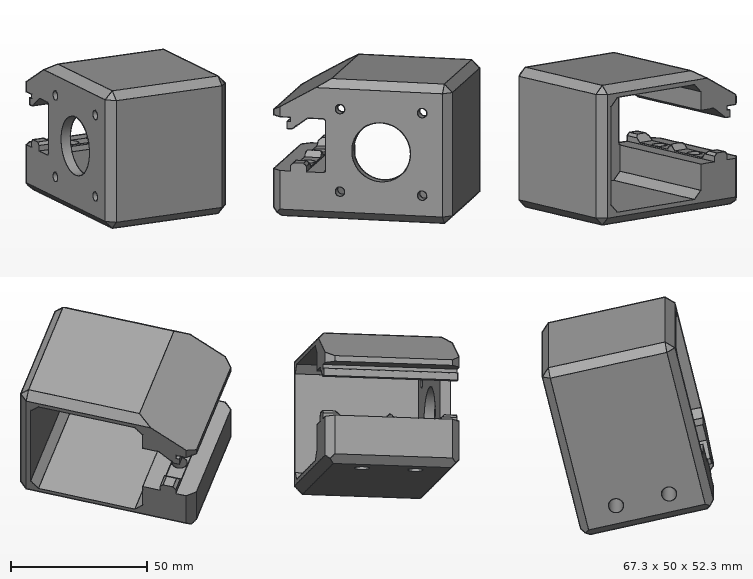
import cadquery as cq
import math

length = 67.3
depth = 50.0
height = 52.3
edge_chamfer = 3.0
nose_top = 39.7
nose_angle = 30.0
slope_run = (height - nose_top) / math.tan(math.radians(nose_angle))

slot_floor = 17.5
slot_ceiling = 37.6
slot_depth = 20.2
slot_fillet = 1.0

lip_root = 7.0
lip_tip = 5.65
lip_tip_end = 7.7
lip_ramp_end = 13.45
lip_notch_height = 1.6
lip_height = 4.3

key_start = 7.0
key_width = 6.0
key_height = 3.15
key_chamfer = 1.1
notch_step = 0.55
notch_floor_width = 15.6
screw_pitch = 20.0
screw_diameter = 5.5

motor_x = 41.1
motor_z = height / 2
motor_width = 42.95
motor_corner = edge_chamfer
plate_thickness = 3.9
bore_diameter = 22.1
bolt_pitch = 30.95
bolt_diameter = 3.5


def chamfered_block():
    """Chamfered block with a sloping face above the nose."""
    side = (
        cq.Workplane("XZ")
        .moveTo(edge_chamfer, 0)
        .lineTo(length, 0)
        .lineTo(length, height)
        .lineTo(slope_run, height)
        .lineTo(0, nose_top)
        .lineTo(0, edge_chamfer)
        .close()
        .extrude(-depth)
    )
    box = cq.Workplane().box(length, depth, height, centered=False)
    far_chamfers = box.edges("|X or >X").chamfer(edge_chamfer)
    near_chamfers = box.edges("|Z and <X").chamfer(edge_chamfer)
    return side.intersect(far_chamfers).intersect(near_chamfers)


def rail_slot():
    """Slot across the full depth, rounded inside only where it ends in the motor plate."""
    slot_height = slot_ceiling - slot_floor
    plate_stretch = (
        cq.Workplane()
        .box(slot_depth, plate_thickness, slot_height, centered=False)
        .edges("|Y and >X")
        .fillet(slot_fillet)
    )
    open_stretch = (
        cq.Workplane()
        .box(slot_depth, depth - plate_thickness, slot_height, centered=False)
        .translate((0, plate_thickness, 0))
    )
    return plate_stretch.union(open_stretch).translate((0, 0, slot_floor))


def lip():
    notch_z = slot_ceiling - lip_notch_height
    tip_z = slot_ceiling - lip_height
    return (
        cq.Workplane("XZ")
        .moveTo(lip_root, slot_ceiling)
        .lineTo(lip_root, notch_z)
        .lineTo(lip_tip, notch_z)
        .lineTo(lip_tip, tip_z)
        .lineTo(lip_tip_end, tip_z)
        .lineTo(lip_ramp_end, slot_ceiling)
        .close()
        .extrude(-depth)
    )


def screw_positions():
    return [depth / 2 - screw_pitch / 2, depth / 2 + screw_pitch / 2]


def key():
    """Chamfered key with a 45 degree flared notch around each screw."""
    body = (
        cq.Workplane()
        .box(key_width, depth, key_height, centered=False)
        .edges("|Y and >Z")
        .chamfer(key_chamfer)
    )
    rise = key_height - notch_step
    half_floor = notch_floor_width / 2
    for screw_y in screw_positions():
        notch = (
            cq.Workplane("YZ")
            .moveTo(screw_y - half_floor, notch_step)
            .lineTo(screw_y + half_floor, notch_step)
            .lineTo(screw_y + half_floor + rise, key_height)
            .lineTo(screw_y - half_floor - rise, key_height)
            .close()
            .extrude(key_width)
        )
        body = body.cut(notch)
    return body.translate((key_start, 0, slot_floor))


def screw_holes():
    screw_x = key_start + key_width / 2
    return (
        cq.Workplane()
        .pushPoints([(screw_x, screw_y) for screw_y in screw_positions()])
        .circle(screw_diameter / 2)
        .extrude(slot_floor + key_height)
    )


def motor_pocket():
    """Square pocket with cut corners, open at +Y and into the slot."""
    return (
        cq.Workplane("XZ", origin=(motor_x, plate_thickness, motor_z))
        .rect(motor_width, motor_width)
        .extrude(plate_thickness - depth)
        .edges("|Y")
        .chamfer(motor_corner)
    )


def motor_plate_holes():
    plate = cq.Workplane("XZ", origin=(motor_x, 0, motor_z))
    bore = plate.circle(bore_diameter / 2).extrude(-plate_thickness)
    bolts = (
        plate.rect(bolt_pitch, bolt_pitch, forConstruction=True)
        .vertices()
        .circle(bolt_diameter / 2)
        .extrude(-plate_thickness)
    )
    return bore.union(bolts)


result = (
    chamfered_block()
    .cut(rail_slot())
    .union(lip())
    .union(key())
    .cut(screw_holes())
    .cut(motor_pocket())
    .cut(motor_plate_holes())
)